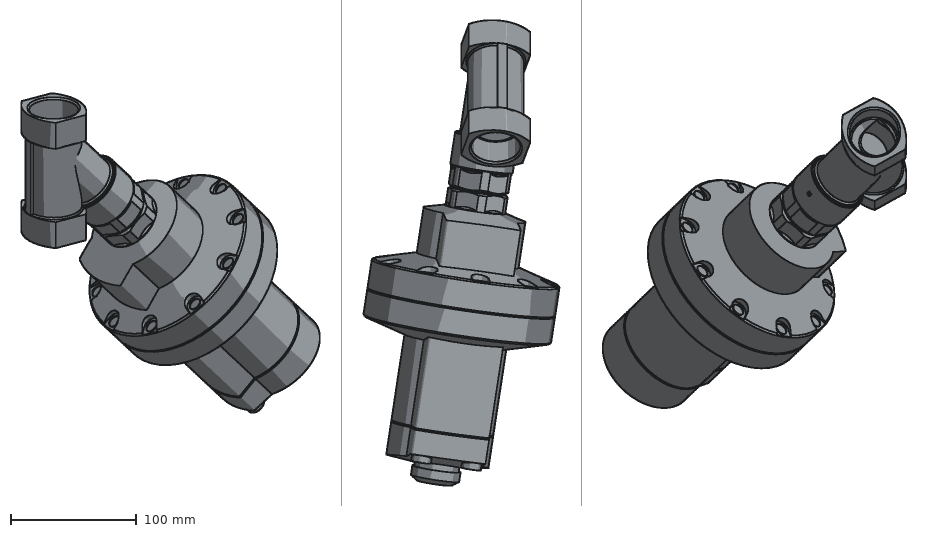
import cadquery as cq
import math

axis_tilt = 42.0

pipe_top = 35.5
pipe_bottom = -74.2
pipe_radius = 22.37
port_length = 22.8
port_width = 50.0
port_depth = 48.0
port_flat_length = 28.2
port_neck_height = 1.2
port_neck_radius = 23.7
rib_width = 7.8
rib_reach = 24.3
bore_diameter = 39.0
bore_depth = 21.0
bore_chamfer = 1.5
funnel_diameter = 36.0
funnel_height = 5.0
funnel_end_diameter = 24.0
seat_diameter = 28.0
seat_level = -1.5
seat_length = 21.0

branch_radius = 21.3
branch_foot = -48.3
collar_radius = 25.2
collar_top = -49.8
collar_foot_radius = 22.8
collar_bevel = 1.0
collar_bottom = -76.5
collar_lower_bevel = 0.5
hex_flats = 45.5
hex_corner_radius = 24.5
hex_top = -77.8
hex_bottom = -108.7
hex_ledge = 1.8
hex_gap_level = -94.0
hex_gap_width = 1.2
hex_gap_radius = 22.2
hex_gap_bevel = 1.5
vent_width = 3.0
vent_level = -61.5
vent_depth = 1.5

column_radius = 41.0
lug_width = 61.0
lug_reach = 53.0
lug_corner_reach = 47.0
lug_corner_fillet = 2.0
cone_angle = 15.0
housing_top = -109.3
cap_seam = -286.0
seam_chamfer = 0.75

flange_radius = 75.7
flange_top_edge = -159.7
flange_bottom_edge = -206.5
flange_seam = -184.5
flange_cone_angle = 16.0
flange_bevel = 1.5
screw_count = 10
screw_circle_radius = 68.0
screw_pocket_floor = -160.5
screw_pocket_diameter = 14.5
screw_hole_diameter = 10.0
screw_hole_depth = 1.0

cap_apex = -317.7
cap_cone_angle = 7.0
cap_tilt = 5.6
plug_diameter = 16.0
plug_spacing = 40.8
plug_reach = 41.0
plug_end = -312.0
gland_diameter = 39.0
gland_neck_diameter = 36.0
gland_offset = 1.2
gland_top = -318.5
gland_edge = -326.0
gland_end = -330.0
gland_end_diameter = 28.0
gland_notch_width = 4.8
gland_notch_depth = 1.2
gland_notch_height = 6.0
gland_notch_angle = 30.0

overlap = 3.0


def tilt(shape):
    """Swing a part from the vertical axis onto the actuator axis."""
    return shape.rotate((0, 0, 0), (1, 0, 0), axis_tilt)


def cylinder(radius, bottom, top):
    """Upright cylinder between two levels."""
    return cq.Workplane("XY").workplane(offset=bottom).circle(radius).extrude(top - bottom)


def turned(points):
    """Solid turned about Z from a list of (radius, level) points."""
    return cq.Workplane("XZ").polyline(points).close().revolve(360, (0, 0), (0, 1))


def port(bottom):
    """Port end with two parallel flats and two shallow arcs."""
    flat = port_flat_length / 2
    side = port_width / 2
    bulge = port_depth / 2
    return (
        cq.Workplane("XY").workplane(offset=bottom)
        .moveTo(side, -flat)
        .lineTo(side, flat)
        .threePointArc((0, bulge), (-side, flat))
        .lineTo(-side, -flat)
        .threePointArc((0, -bulge), (side, -flat))
        .close()
        .extrude(port_length)
    )


def port_bore(end, inward):
    """Chamfered bore with a funnel; inward is +1 or -1 along Z."""
    bore = bore_diameter / 2
    funnel_start = end + inward * bore_depth
    funnel_end = funnel_start + inward * funnel_height
    return turned([
        (0, end),
        (bore + bore_chamfer, end),
        (bore, end + inward * bore_chamfer),
        (bore, funnel_start),
        (funnel_diameter / 2, funnel_start),
        (funnel_end_diameter / 2, funnel_end),
        (0, funnel_end),
    ])


def port_neck(level, inward):
    """Small cone where a port meets the pipe; inward is +1 or -1 along Z."""
    end = level + inward * port_neck_height
    return turned([(0, level), (port_neck_radius, level), (pipe_radius, end), (0, end)])


def hex_waste():
    """Metal removed around the hexagon; conical ledges leave a round rim beyond both ends."""
    length = hex_top - hex_bottom
    inner = hex_flats / 2
    across_corners = hex_flats / math.cos(math.radians(30))
    prism = (
        cq.Workplane("XY").workplane(offset=hex_bottom)
        .polygon(6, across_corners).extrude(length)
        .rotate((0, 0, 0), (0, 0, 1), 30)
    )
    ledges = turned([
        (0, hex_bottom),
        (hex_corner_radius, hex_bottom),
        (inner, hex_bottom + hex_ledge),
        (inner, hex_top - hex_ledge),
        (hex_corner_radius, hex_top),
        (0, hex_top),
    ])
    return cylinder(collar_radius, hex_bottom, hex_top).cut(prism).cut(ledges)


def make_stem():
    """Branch, collar with its vent, and the bonnet with two hexagons and a gap between them."""
    gap_top = hex_gap_level + hex_gap_width / 2
    gap_bottom = hex_gap_level - hex_gap_width / 2
    stem = turned([
        (0, 0),
        (branch_radius, 0),
        (branch_radius, branch_foot),
        (collar_foot_radius, collar_top),
        (collar_radius - collar_bevel, collar_top),
        (collar_radius, collar_top - collar_bevel),
        (collar_radius, collar_bottom + collar_lower_bevel),
        (hex_corner_radius, collar_bottom),
        (hex_corner_radius, gap_top + hex_gap_bevel),
        (hex_gap_radius, gap_top),
        (hex_gap_radius, gap_bottom),
        (hex_corner_radius, gap_bottom - hex_gap_bevel),
        (hex_corner_radius, housing_top),
        (0, housing_top),
    ])
    vent = cq.Workplane("XY").box(vent_width, 2 * vent_depth, vent_width)
    return tilt(stem.cut(hex_waste()).cut(vent.translate((0, collar_radius, vent_level))))


def make_valve():
    """Pipe, ports, rib, branch, collar and hexagons."""
    pipe = cylinder(pipe_radius, pipe_bottom, pipe_top)
    top_port = pipe_top - port_length
    bottom_port = pipe_bottom + port_length
    rib = cq.Workplane("XY").box(
        rib_width, rib_reach, top_port - bottom_port, centered=(True, False, False)
    ).translate((0, -rib_reach, bottom_port))

    throat = cylinder(funnel_diameter / 2, pipe_bottom, pipe_top - bore_depth)
    seat = tilt(cylinder(seat_diameter / 2, seat_level, seat_level + seat_length)).intersect(throat)
    return (
        pipe.union(port(top_port)).union(port(pipe_bottom))
        .union(port_neck(top_port, -1)).union(port_neck(bottom_port, 1))
        .union(rib).union(make_stem())
        .cut(port_bore(pipe_top, -1))
        .cut(port_bore(pipe_bottom, 1))
        .cut(seat)
    )


def column(bottom, top):
    """Round column with the lug along its -Y side."""
    side = lug_width / 2
    lug = (
        cq.Workplane("XY").workplane(offset=bottom)
        .moveTo(-side, 0)
        .lineTo(-side, -lug_corner_reach)
        .threePointArc((0, -lug_reach), (side, -lug_corner_reach))
        .lineTo(side, 0)
        .close()
        .extrude(top - bottom)
        .edges("|Z").edges("<Y").fillet(lug_corner_fillet)
    )
    return cylinder(column_radius, bottom, top).union(lug)


def flange_half(edge, direction):
    """Half of the flange from its seam to its conical face; direction is +1 up or -1 down."""
    bevel_rise = direction * flange_bevel
    face_radius = flange_radius - flange_bevel
    cone_rise = direction * face_radius * math.tan(math.radians(flange_cone_angle))
    return turned([
        (0, flange_seam),
        (flange_radius - seam_chamfer, flange_seam),
        (flange_radius, flange_seam + direction * seam_chamfer),
        (flange_radius, edge - bevel_rise),
        (face_radius, edge),
        (0, edge + cone_rise),
    ])


def screw_pockets():
    """List of flat pockets that open outward, each with a screw recess."""
    height = flange_radius * math.tan(math.radians(flange_cone_angle))
    pocket = cylinder(screw_pocket_diameter / 2, screw_pocket_floor, flange_top_edge + height)
    outlet = cq.Workplane("XY").box(
        screw_pocket_diameter, flange_radius - screw_circle_radius, height, centered=(True, False, False)
    ).translate((0, screw_circle_radius - flange_radius, screw_pocket_floor))
    hole = cylinder(screw_hole_diameter / 2, screw_pocket_floor - screw_hole_depth, screw_pocket_floor)
    one = pocket.union(outlet).union(hole).translate((0, -screw_circle_radius, 0))
    step = 360 / screw_count
    return [one.rotate((0, 0, 0), (0, 0, 1), index * step) for index in range(screw_count)]


def make_upper_housing():
    """Upper flange half with its screw pockets and the lugged column above."""
    cone_reach = lug_reach + overlap
    fall = (cone_reach - collar_radius) * math.tan(math.radians(cone_angle))
    cone = turned([
        (0, flange_seam),
        (cone_reach, flange_seam),
        (cone_reach, housing_top - fall),
        (collar_radius, housing_top),
        (0, housing_top),
    ])
    flange = flange_half(flange_top_edge, 1)
    for pocket in screw_pockets():
        flange = flange.cut(pocket)
    neck = column(flange_top_edge, housing_top).intersect(cone)
    return tilt(flange.union(neck))


def make_lower_housing():
    """Lower flange half and the long lugged column below it."""
    barrel = column(cap_seam, flange_bottom_edge).faces("<Z").edges().chamfer(seam_chamfer)
    return tilt(flange_half(flange_bottom_edge, -1).union(barrel))


def make_gland():
    """Round gland on the end of the cap, with one small notch on its rim."""
    radius = gland_diameter / 2
    neck = gland_neck_diameter / 2
    root = cap_seam - overlap
    gland = turned([
        (0, root),
        (neck, root),
        (neck, gland_top),
        (radius, gland_top),
        (radius, gland_edge),
        (gland_end_diameter / 2, gland_end),
        (0, gland_end),
    ])
    notch = cq.Workplane("XY").box(2 * gland_notch_depth, gland_notch_width, gland_notch_height)
    notch = notch.translate((-radius, 0, (gland_top + gland_edge) / 2))
    notch = notch.rotate((0, 0, 0), (0, 0, 1), -gland_notch_angle)
    return gland.cut(notch).translate((0, -gland_offset, 0))


def make_cap():
    """End cap with a tilted conical end, two plugs and a gland."""
    reach = flange_radius
    rise = reach * math.tan(math.radians(cap_cone_angle))
    envelope = turned([
        (0, cap_apex), (reach, cap_apex + rise), (reach, flange_seam), (0, flange_seam)
    ]).rotate((0, 0, cap_apex), (1, 0, cap_apex), -cap_tilt)
    body = column(cap_apex - column_radius, cap_seam).faces(">Z").edges().chamfer(seam_chamfer)
    body = body.intersect(envelope).union(make_gland())
    for side in (-1, 1):
        plug = cylinder(plug_diameter / 2, plug_end, cap_seam - overlap)
        body = body.union(plug.translate((side * plug_spacing / 2, -plug_reach, 0)))
    return tilt(body)


valve = make_valve()
upper_housing = make_upper_housing()
lower_housing = make_lower_housing()
cap = make_cap()

result = cq.Compound.makeCompound([
    valve.val(),
    upper_housing.val(),
    lower_housing.val(),
    cap.val(),
])